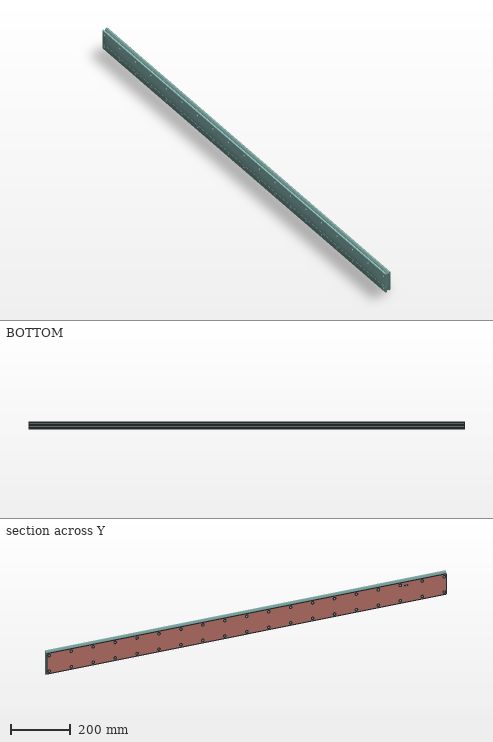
import cadquery as cq

length = 1460.0
depth = 23.0
height = 90.0

front_plate = 9.0
slot_width = 2.2
slot_floor_z = 25.0

front_bevel = 1.0
mouth_taper_depth = 6.5
front_mouth_width = 3.0
back_mouth_width = 6.0
back_bevel = 5.0

recess_height = 40.0
recess_depth = 0.7

hole_count = 19
hole_end_distance = 10.1
hole_row_spacing = 58.0
hole_diameter = 7.7

front_y = -depth / 2
back_y = depth / 2
slot_front_y = front_y + front_plate
slot_back_y = slot_front_y + slot_width
top_z = height / 2


def rail_body():
    upper_edge = [
        (front_y + recess_depth, recess_height / 2),
        (front_y, recess_height / 2),
        (front_y, top_z - front_bevel),
        (front_y + front_bevel, top_z),
        (slot_front_y - front_mouth_width, top_z),
        (slot_front_y, top_z - mouth_taper_depth),
        (slot_front_y, slot_floor_z),
        (slot_back_y, slot_floor_z),
        (slot_back_y, top_z - mouth_taper_depth),
        (slot_back_y + back_mouth_width, top_z),
        (back_y - back_bevel, top_z),
        (back_y, top_z - back_bevel),
    ]
    lower_edge = [(y, -z) for y, z in reversed(upper_edge)]
    profile = cq.Workplane("YZ", origin=(-length / 2, 0, 0)).polyline(upper_edge + lower_edge).close()
    return profile.extrude(length)


def fastener_holes():
    pitch = (length - 2 * hole_end_distance) / (hole_count - 1)
    centers = cq.Workplane("XZ").rarray(pitch, hole_row_spacing, hole_count, 2)
    return centers.circle(hole_diameter / 2).extrude(depth, both=True)


result = rail_body().cut(fastener_holes())